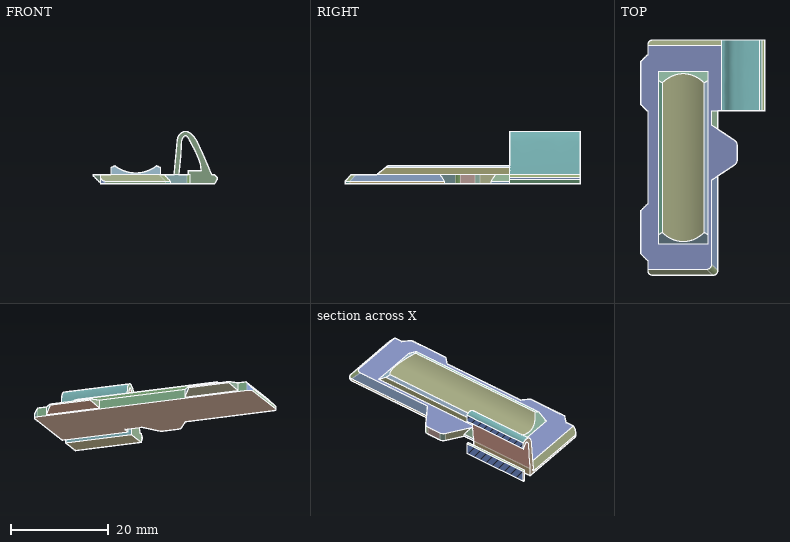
import cadquery as cq

OVERALL_WIDTH = 25.38
PLATE_WIDTH = 14.35
PLATE_LENGTH = 48.15
PLATE_THICKNESS = 1.9
RIM_HEIGHT = 0.55
SIDE_BEVEL = 1.3
FRONT_BEVEL = 1.23
BACK_BEVEL = 1.1
TOP_FACE_RIGHT = PLATE_WIDTH - SIDE_BEVEL
CORNER_RADIUS = 1.0

TAB_DEPTH = 1.45
TAB_BASE_LENGTH = 11.7
TAB_END_MARGIN = 2.97
TAB_LIP = 0.25

NUB_TIP_X = 18.3
NUB_CENTER_Y = 25.1
NUB_BASE_HALF = 5.64
NUB_TIP_HALF = 2.17
NUB_RADIUS = 1.2

PAD_LEFT = 2.15
PAD_WIDTH = 10.2
PAD_LENGTH = 35.27
PAD_SIDE_Z = 3.36
PAD_CREST_Z = 3.74
TROUGH_BOTTOM_Z = 2.27
TROUGH_HALF_WIDTH = 4.28
PAD_END_SLOPE = 2.34

CLIP_LENGTH = 14.5
LEG_OUTER_X = 15.05
LEG_INNER_X = 16.1
ARCH_X = 17.35
ARCH_TOP_Z = 10.77
ARCH_INNER_Z = 9.85
OUTER_LEG = (15.64, 8.2)
OUTER_SHOULDER = (15.98, 9.8)
OUTER_CREST = (19.0, 9.85)
OUTER_FLANK = (20.35, 7.6)
INNER_LEG = (16.6, 8.0)
INNER_SHOULDER = (16.85, 9.4)
INNER_CREST = (18.3, 8.85)
INNER_FLANK = (20.1, 5.1)
BLOCK_LEFT_X = 17.95
BLOCK_TOP_Z = 2.75
ARM_INNER_X = 20.6
ARM_OUTER_X = 22.8
TOE_TIP_X = OVERALL_WIDTH - TAB_DEPTH
TOE_BASE_X = 23.4
TOE_LOW_Z = 0.93
TOE_HIGH_Z = 1.3


def prism_along_y(profile, y_start, y_end):
    """Extrude an XZ profile between two Y positions."""
    return profile.extrude(-(y_end - y_start)).translate((0, y_start, 0))


def make_plate_outline(right, front, back, base_z):
    """Horizontal wire with square left corners and rounded right corners."""
    arc_start_x = right - CORNER_RADIUS
    return (
        cq.Workplane("XY", origin=(0, 0, base_z))
        .moveTo(0, front)
        .lineTo(arc_start_x, front)
        .tangentArcPoint((right, front + CORNER_RADIUS), relative=False)
        .lineTo(right, back - CORNER_RADIUS)
        .tangentArcPoint((arc_start_x, back), relative=False)
        .lineTo(0, back)
        .close()
    )


def make_plate():
    """Plate with an upright rim, bevels above it and rounded corners."""
    rim = make_plate_outline(PLATE_WIDTH, 0, PLATE_LENGTH, 0).extrude(RIM_HEIGHT)
    rim_wire = make_plate_outline(PLATE_WIDTH, 0, PLATE_LENGTH, RIM_HEIGHT).val()
    top_back = PLATE_LENGTH - BACK_BEVEL
    top_wire = make_plate_outline(TOP_FACE_RIGHT, FRONT_BEVEL, top_back, PLATE_THICKNESS).val()
    bevelled = cq.Workplane(cq.Solid.makeLoft([rim_wire, top_wire], True))
    blank = cq.Workplane("XY").box(PLATE_WIDTH, PLATE_LENGTH, PLATE_THICKNESS, centered=False)
    blank = blank.edges("|Z and <X").fillet(CORNER_RADIUS)
    return rim.union(bevelled).intersect(blank)


def make_tab(y_start):
    """Tab with 45 degree ends and an undercut outer face."""
    y_end = y_start + TAB_BASE_LENGTH
    plan = (
        cq.Workplane("XY")
        .polyline([
            (0, y_start),
            (-TAB_DEPTH, y_start + TAB_DEPTH),
            (-TAB_DEPTH, y_end - TAB_DEPTH),
            (0, y_end),
        ])
        .close()
        .extrude(PLATE_THICKNESS)
    )
    lip_z = PLATE_THICKNESS - TAB_LIP
    section = (
        cq.Workplane("XZ")
        .polyline([
            (0, lip_z - TAB_DEPTH),
            (-TAB_DEPTH, lip_z),
            (-TAB_DEPTH, PLATE_THICKNESS),
            (0, PLATE_THICKNESS),
        ])
        .close()
    )
    return plan.intersect(prism_along_y(section, y_start, y_end))


def make_nub():
    """Tapered nub with rounded tip corners."""
    return (
        cq.Workplane("XY")
        .polyline([
            (TOP_FACE_RIGHT, NUB_CENTER_Y - NUB_BASE_HALF),
            (NUB_TIP_X, NUB_CENTER_Y - NUB_TIP_HALF),
            (NUB_TIP_X, NUB_CENTER_Y + NUB_TIP_HALF),
            (TOP_FACE_RIGHT, NUB_CENTER_Y + NUB_BASE_HALF),
        ])
        .close()
        .extrude(PLATE_THICKNESS)
        .edges("|Z and >X")
        .fillet(NUB_RADIUS)
    )


def make_pad():
    """Pad with a round trough and sloping ends."""
    right = PAD_LEFT + PAD_WIDTH
    center_x = PAD_LEFT + PAD_WIDTH / 2
    y_start = (PLATE_LENGTH - PAD_LENGTH) / 2
    y_end = y_start + PAD_LENGTH
    section = (
        cq.Workplane("XZ")
        .moveTo(PAD_LEFT, PLATE_THICKNESS)
        .lineTo(PAD_LEFT, PAD_SIDE_Z)
        .lineTo(center_x - TROUGH_HALF_WIDTH, PAD_CREST_Z)
        .threePointArc((center_x, TROUGH_BOTTOM_Z), (center_x + TROUGH_HALF_WIDTH, PAD_CREST_Z))
        .lineTo(right, PAD_SIDE_Z)
        .lineTo(right, PLATE_THICKNESS)
        .close()
    )
    end_slopes = (
        cq.Workplane("YZ")
        .polyline([
            (y_start, PLATE_THICKNESS),
            (y_start + PAD_END_SLOPE, PAD_CREST_Z),
            (y_end - PAD_END_SLOPE, PAD_CREST_Z),
            (y_end, PLATE_THICKNESS),
        ])
        .close()
        .extrude(right)
    )
    return prism_along_y(section, y_start, y_end).intersect(end_slopes)


def make_clip():
    """Arched spring clip ending in a block with a pointed toe."""
    outer_end = (ARM_OUTER_X, PLATE_THICKNESS)
    inner_end = (LEG_INNER_X, PLATE_THICKNESS)
    outer_points = [OUTER_LEG, OUTER_SHOULDER, (ARCH_X, ARCH_TOP_Z), OUTER_CREST, OUTER_FLANK, outer_end]
    inner_points = [INNER_FLANK, INNER_CREST, (ARCH_X, ARCH_INNER_Z), INNER_SHOULDER, INNER_LEG, inner_end]
    leg_rise = (OUTER_LEG[0] - LEG_OUTER_X, OUTER_LEG[1] - PLATE_THICKNESS)
    leg_drop = (LEG_INNER_X - INNER_LEG[0], PLATE_THICKNESS - INNER_LEG[1])
    arm_fall = (ARM_OUTER_X - OUTER_FLANK[0], PLATE_THICKNESS - OUTER_FLANK[1])
    section = (
        cq.Workplane("XZ")
        .moveTo(LEG_INNER_X, 0)
        .lineTo(LEG_OUTER_X, 0)
        .lineTo(LEG_OUTER_X, PLATE_THICKNESS)
        .spline(outer_points, tangents=[leg_rise, arm_fall], includeCurrent=True)
        .lineTo(TOE_BASE_X, PLATE_THICKNESS)
        .lineTo(TOE_TIP_X, TOE_HIGH_Z)
        .lineTo(TOE_TIP_X, TOE_LOW_Z)
        .lineTo(TOE_BASE_X, 0)
        .lineTo(BLOCK_LEFT_X, 0)
        .lineTo(BLOCK_LEFT_X, BLOCK_TOP_Z)
        .lineTo(ARM_INNER_X, BLOCK_TOP_Z)
        .spline(inner_points, tangents=[(0, 1), leg_drop], includeCurrent=True)
        .close()
    )
    return prism_along_y(section, PLATE_LENGTH - CLIP_LENGTH, PLATE_LENGTH)


def make_clip_web():
    """Full-thickness strip joining the plate to the clip leg."""
    start_x = TOP_FACE_RIGHT - CORNER_RADIUS
    return (
        cq.Workplane("YZ", origin=(start_x, 0, 0))
        .polyline([
            (PLATE_LENGTH - CLIP_LENGTH, 0),
            (PLATE_LENGTH, 0),
            (PLATE_LENGTH, RIM_HEIGHT),
            (PLATE_LENGTH - BACK_BEVEL, PLATE_THICKNESS),
            (PLATE_LENGTH - CLIP_LENGTH, PLATE_THICKNESS),
        ])
        .close()
        .extrude(LEG_OUTER_X - start_x)
    )


result = make_plate()
for tab_start in (TAB_END_MARGIN, PLATE_LENGTH - TAB_END_MARGIN - TAB_BASE_LENGTH):
    result = result.union(make_tab(tab_start))
for feature in (make_nub(), make_pad(), make_clip_web(), make_clip()):
    result = result.union(feature)